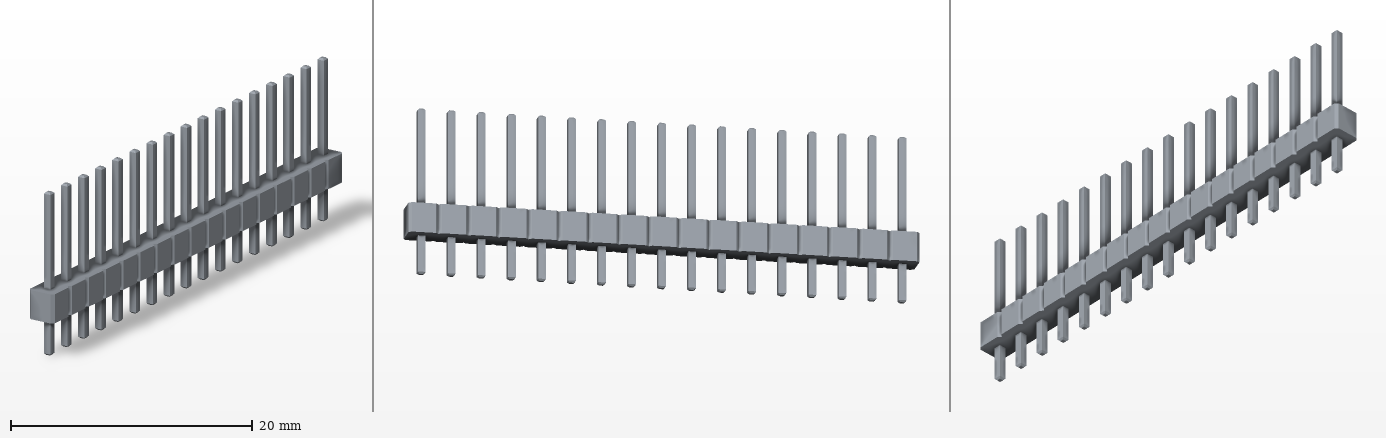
import cadquery as cq

pin_count = 17
strip_length = 43.2
strip_width = 2.5
strip_height = 2.55
pitch = strip_length / pin_count
corner_chamfer = 0.25

pin_half_side = 0.32
pin_side = 2 * pin_half_side
pin_length_above = 8.45
pin_length_below = 3.3
pin_length = pin_length_below + strip_height + pin_length_above
tip_chamfer = 0.145

pin_centres = [(0, (i - (pin_count - 1) / 2) * pitch) for i in range(pin_count)]


def make_strip():
    """Chamfered segments set end to end, so that V notches form between neighbours."""
    segment = (
        cq.Workplane("XY")
        .box(strip_width, pitch, strip_height, centered=(True, True, False))
        .edges("|Z")
        .chamfer(corner_chamfer)
        .val()
    )
    return (
        cq.Workplane("XY")
        .pushPoints(pin_centres)
        .eachpoint(lambda place: segment.moved(place), combine=True, clean=True)
    )


def make_pins():
    """Square pins with both tips chamfered, running through the whole strip."""
    pin = (
        cq.Workplane("XY")
        .box(pin_side, pin_side, pin_length, centered=(True, True, False))
        .faces("<Z or >Z")
        .edges()
        .chamfer(tip_chamfer)
        .translate((0, 0, -pin_length_below))
        .val()
    )
    return (
        cq.Workplane("XY")
        .pushPoints(pin_centres)
        .eachpoint(lambda place: pin.moved(place))
    )


header = make_strip().union(make_pins())
result = cq.Workplane("XY").newObject([header.solids().val()])